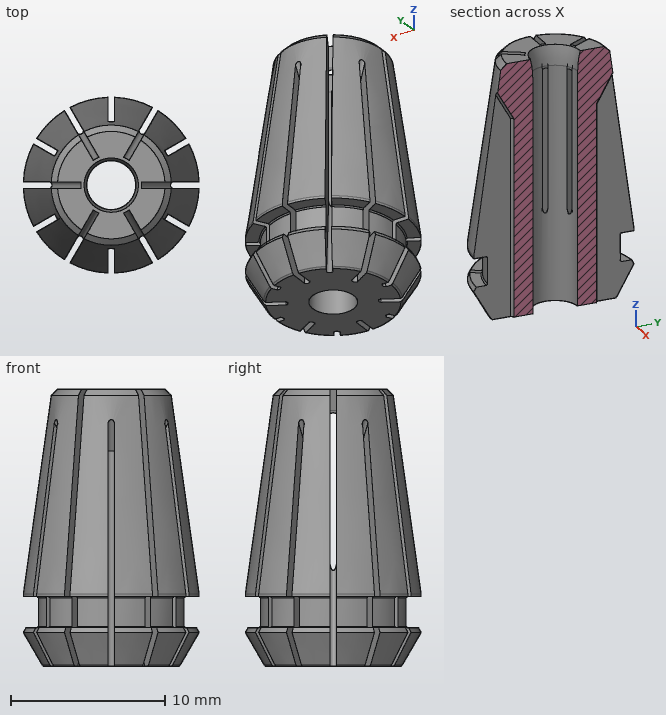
import cadquery as cq
import math


total_height = 18.0
max_radius = 11.43 / 2
base_radius = 4.4
base_chamfer = 0.1
flange_angle = 30.0
flange_rim_height = 2.2
flange_top_height = 2.5
flange_top_radius = 5.55
neck_radius = 4.73
neck_chamfer = 0.09
cone_bottom_height = 4.52
cone_land_height = 0.18
cone_angle = 8.0
nose_chamfer = 0.41

bore_radius = 3.17 / 2
mouth_radius = 1.76
mouth_depth = 1.4

slots_per_end = 6
slot_pitch = 360.0 / slots_per_end
slot_width = 0.41
slot_floor_sagitta = 0.13
nose_slot_floor_lean = 20.0
nose_slot_base_radius = 3.85
nose_slot_wall_radius = 1.98
nose_slot_wall_lean = 14.3
base_slot_floor_radius = 2.95
base_slot_runout_lean = 30.0
base_slot_floor_top = 13.99

cutter_reach = 2 * total_height


def outer_body():
    """Revolved body without bore and slots: flange, neck and clamping cone."""
    flange_slope = math.tan(math.radians(flange_angle))
    flange_chamfer_radius = max_radius - (flange_rim_height - base_chamfer) * flange_slope
    cone_start = cone_bottom_height + cone_land_height
    cone_top = total_height - nose_chamfer
    cone_top_radius = max_radius - (cone_top - cone_start) * math.tan(math.radians(cone_angle))
    outline = [
        (0, 0),
        (base_radius, 0),
        (flange_chamfer_radius, base_chamfer),
        (max_radius, flange_rim_height),
        (flange_top_radius, flange_top_height),
        (neck_radius + neck_chamfer, flange_top_height),
        (neck_radius, flange_top_height + neck_chamfer),
        (neck_radius, cone_bottom_height - neck_chamfer),
        (neck_radius + neck_chamfer, cone_bottom_height),
        (max_radius, cone_bottom_height),
        (max_radius, cone_start),
        (cone_top_radius, cone_top),
        (cone_top_radius - nose_chamfer, total_height),
        (0, total_height),
    ]
    return cq.Workplane("XZ").polyline(outline).close().revolve(360, (0, 0), (0, 1))


def bore():
    """Through bore, flaring into a bell mouth that is tangent to it."""
    mouth_bottom = total_height - mouth_depth
    return (
        cq.Workplane("XZ")
        .lineTo(bore_radius, 0)
        .lineTo(bore_radius, mouth_bottom)
        .tangentArcPoint((mouth_radius, total_height), relative=False)
        .lineTo(0, total_height)
        .close()
        .revolve(360, (0, 0), (0, 1))
    )


def groove(floor_radius, floor_height, lean):
    """Endless groove open toward +X, with its hollow floor through the given point.

    A positive lean tilts the floor outward going up.
    """
    angle = math.radians(lean)
    floor_plane = cq.Plane(
        origin=(floor_radius, 0, floor_height),
        xDir=(0, 1, 0),
        normal=(-math.sin(angle), 0, -math.cos(angle)),
    )
    return (
        cq.Workplane(floor_plane)
        .moveTo(-slot_width / 2, slot_floor_sagitta)
        .threePointArc((0, 0), (slot_width / 2, slot_floor_sagitta))
        .lineTo(slot_width / 2, cutter_reach)
        .lineTo(-slot_width / 2, cutter_reach)
        .close()
        .extrude(cutter_reach, both=True)
    )


def nose_slot():
    """Slot open at the nose, cutting into the bore and running out to the base."""
    wall_slope = math.tan(math.radians(nose_slot_wall_lean))
    kept_core = (
        cq.Workplane("XZ")
        .moveTo(nose_slot_wall_radius, total_height)
        .lineTo(nose_slot_wall_radius - total_height * wall_slope, 0)
        .lineTo(-cutter_reach, 0)
        .lineTo(-cutter_reach, total_height)
        .close()
        .extrude(slot_width, both=True)
    )
    return groove(nose_slot_base_radius, 0, -nose_slot_floor_lean).cut(kept_core)


def base_slot():
    """Slot open at the base, with its floor leaning out to the cone near the nose."""
    upright = groove(base_slot_floor_radius, base_slot_floor_top, 0)
    runout = groove(base_slot_floor_radius, base_slot_floor_top, base_slot_runout_lean)
    return upright.intersect(runout)


result = outer_body().cut(bore())
for index in range(slots_per_end):
    nose_slot_angle = index * slot_pitch
    base_slot_angle = nose_slot_angle + slot_pitch / 2
    result = result.cut(nose_slot().rotate((0, 0, 0), (0, 0, 1), nose_slot_angle))
    result = result.cut(base_slot().rotate((0, 0, 0), (0, 0, 1), base_slot_angle))